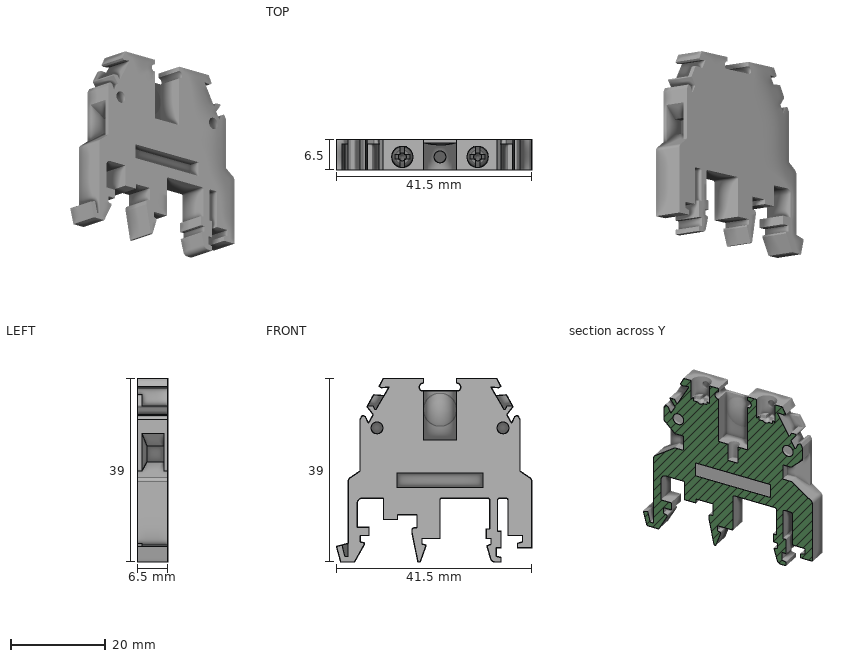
import cadquery as cq
import math


thickness = 6.5
height = 39.0
body_half_width = 17.0
leg_half_width = 19.5
hook_reach = 2.5
shoulder_z = 19.35
shoulder_slope = 0.69
shoulder_radius = 1.0
ceiling_z = 13.55
rim_wall = 1.0

pocket_half_width = 3.5
pocket_floor_z = 25.95
pocket_wall = 0.7
pocket_wall_top_z = 36.4
side_groove_radius = 0.88
side_groove_z = 37.14
dome_radius = 3.5
dome_rise = 0.48
dome_z = 32.35
floor_hole_diameter = 2.5
floor_hole_depth = 4.0

screw_x = 8.0
screw_y = 2.8
screw_bore_diameter = 4.5
screw_head_depth = 4.0
screw_flat_diameter = 3.0
drive_slot_width = 0.92
drive_slot_length = 3.2
drive_slot_depth = 0.8
drive_pit_diameter = 1.7
drive_pit_depth = 0.8
bore_window_diameter = 1.8
bore_window_drop = 1.9
bore_window_wall = 1.0

pin_hole_diameter = 2.5
pin_hole_x = 13.38
pin_hole_z = 28.5
pin_hole_depth = 3.0
label_length = 18.25
label_bottom_z = 15.85
label_top_z = 18.9
label_depth = 2.5

entry_front_y = 0.85
entry_back_y = thickness - rim_wall
entry_top_z = 27.3
entry_taper_length = 2.76
passage_back_y = 4.45
passage_bottom_z = shoulder_z + shoulder_slope * entry_taper_length
passage_top_z = 24.65
passage_length = 2.0

seat_top = (10.85, 37.15)
seat_root = (13.7, 32.2)
ear_root_z = 35.37
seat_run = (seat_root[0] - seat_top[0]) / (seat_top[1] - seat_root[1])
ear_root = (seat_top[0] + seat_run * (seat_top[1] - ear_root_z), ear_root_z)
ear_shoulder = (14.1, 35.55)
ear_tip = (15.5, 33.0)
lip_peak = (16.5, 31.2)
ledge_z = 33.2
ledge_corner = (14.25, ledge_z)
edge_radius = 0.2
seat_corner_radius = 0.15

left_leg_inner_x = -17.53
left_leg_fillet = 1.0
right_leg_inner_x = 14.4
clip_left_x = 10.53
clip_right_x = 12.25
ceiling_fillet = 0.35
foot_right_x = 0.0
foot_barb = (-5.97, 7.3)
foot_barb_radius = 0.5
clip_toe = (10.93, 0.0)
clip_toe_radius = 1.1
hook_top_z = 4.0
hook_slot_floor_z = 1.2
hook_slot_floor_x = -20.2
hook_slot_top = (-20.95, 4.2)


def upper_right_points():
    """Upper right outline, from the central pocket out and down to the leg."""
    return [
        (pocket_half_width, pocket_floor_z),
        (pocket_half_width, height),
        (12.05, height),
        (12.95, 37.3),
        (12.45, 37.0),
        seat_top,
        ear_root,
        ear_shoulder,
        ear_tip,
        (14.2, 31.3),
        (15.2, 29.55),
        (15.85, 30.9),
        lip_peak,
        (body_half_width, 30.3),
        (body_half_width, shoulder_z),
        (leg_half_width, shoulder_z - shoulder_slope * (leg_half_width - body_half_width)),
    ]


def mirrored(points):
    return [(-x, z) for x, z in points]


def lower_points():
    """Underside outline, from the right leg to the left leg."""
    right_leg = [
        (leg_half_width, 3.0),
        (16.43, 3.0),
        (16.43, 4.0),
        (17.47, 4.3),
        (17.47, 5.6),
        (right_leg_inner_x, 5.6),
        (right_leg_inner_x, ceiling_z),
    ]
    spring_clip = [
        (clip_right_x, ceiling_z),
        (clip_right_x, 6.6),
        (13.0, 6.6),
        (13.0, 3.0),
        (11.95, 3.0),
        (11.95, 1.25),
        (13.0, 1.0),
        (13.0, 0.0),
        clip_toe,
        (9.93, 3.5),
        (10.82, 3.8),
        (10.82, 5.0),
        (9.8, 5.0),
        (9.8, 7.05),
        (clip_left_x, 7.05),
        (clip_left_x, ceiling_z),
    ]
    centre_foot = [
        (foot_right_x, ceiling_z),
        (foot_right_x, 5.0),
        (-3.77, 5.0),
        (-3.77, 3.85),
        (-3.02, 3.65),
        (-3.02, 3.3),
        (-4.2, 0.0),
        (-4.7, 0.0),
        (-5.97, 6.2),
        foot_barb,
        (-4.93, 7.3),
        (-4.93, 10.05),
        (-9.0, 10.05),
        (-9.0, 9.05),
        (-12.0, 9.05),
        (-12.0, ceiling_z),
    ]
    left_leg = [
        (left_leg_inner_x, ceiling_z),
        (left_leg_inner_x, 7.45),
        (-15.05, 7.45),
        (-15.05, 5.6),
        (-16.93, 5.6),
        (-16.93, 4.3),
        (-16.05, 4.1),
        (-16.05, 3.75),
        (-18.15, 0.0),
        (-21.1, 0.0),
        (-leg_half_width - hook_reach, 3.35),
        (-leg_half_width, hook_top_z),
    ]
    return right_leg + spring_clip + centre_foot + left_leg


def plate(points, start_y, end_y):
    """Prism of an XZ outline between two Y positions."""
    return (
        cq.Workplane("XZ", origin=(0, start_y, 0))
        .polyline(points)
        .close()
        .extrude(start_y - end_y)
    )


def box_between(low, high):
    size = [b - a for a, b in zip(low, high)]
    return cq.Workplane("XY").box(*size, centered=False).translate(low)


def cylinder_along_y(diameter, x, z, start_y, end_y):
    return (
        cq.Workplane("XZ", origin=(x, start_y, z))
        .circle(diameter / 2)
        .extrude(start_y - end_y)
    )


def make_housing():
    upper_right = upper_right_points()
    upper_left = mirrored(reversed(upper_right))
    housing = plate(upper_right + lower_points() + upper_left, 0, thickness)

    shoulder_corner_x, shoulder_corner_z = upper_right[-1]
    rounded_corners = [
        (shoulder_corner_x, shoulder_corner_z, shoulder_radius),
        (-shoulder_corner_x, shoulder_corner_z, shoulder_radius),
        (left_leg_inner_x, ceiling_z, left_leg_fillet),
        (*foot_barb, foot_barb_radius),
        (*clip_toe, clip_toe_radius),
    ]
    for x in (foot_right_x, clip_left_x, clip_right_x, right_leg_inner_x):
        rounded_corners.append((x, ceiling_z, ceiling_fillet))
    for x, z in (ear_shoulder, ear_tip, lip_peak):
        rounded_corners.append((x, z, edge_radius))
        rounded_corners.append((-x, z, edge_radius))
    for x, z, radius in rounded_corners:
        corner = cq.selectors.NearestToPointSelector((x, thickness / 2, z))
        housing = housing.edges("|Y").edges(corner).fillet(radius)
    return housing


def add_pocket_wall(housing):
    """Thin wall with a shallow dome behind the pocket; rounded side grooves above it."""
    wall_y = thickness - pocket_wall
    for side in (-1, 1):
        groove = cylinder_along_y(
            2 * side_groove_radius, side * pocket_half_width, side_groove_z, 0, thickness
        )
        below = box_between(
            (-leg_half_width, 0, 0), (leg_half_width, thickness, pocket_wall_top_z)
        )
        housing = housing.cut(groove.cut(below))

    wall = box_between(
        (-pocket_half_width, wall_y, pocket_floor_z),
        (pocket_half_width, thickness, pocket_wall_top_z),
    )
    sphere_radius = (dome_radius**2 + dome_rise**2) / (2 * dome_rise)
    half_chord = dome_radius / 2
    half_chord_rise = dome_rise - sphere_radius + math.sqrt(sphere_radius**2 - half_chord**2)
    dome = (
        cq.Workplane("XY", origin=(0, wall_y, dome_z))
        .moveTo(0, pocket_wall)
        .lineTo(0, -dome_rise)
        .threePointArc((half_chord, -half_chord_rise), (dome_radius, 0))
        .lineTo(dome_radius, pocket_wall)
        .close()
        .revolve(360, (0, 0, 0), (0, 1, 0))
    )
    return housing.union(wall).union(dome)


def cut_pocket_floor_hole(housing):
    hole = (
        cq.Workplane("XY", origin=(0, screw_y, pocket_floor_z))
        .circle(floor_hole_diameter / 2)
        .extrude(-floor_hole_depth)
    )
    return housing.cut(hole)


def cut_marker_seats(housing):
    """Front part of each ear, leaving only the back rim."""
    right_seat = [
        seat_top,
        seat_root,
        ledge_corner,
        (16.0, ledge_z),
        (16.0, 36.0),
        (12.0, 36.0),
    ]
    seat_depth = thickness - rim_wall
    cutter = plate(right_seat, 0, seat_depth)
    for x, z in (seat_root, ledge_corner):
        corner = cq.selectors.NearestToPointSelector((x, seat_depth / 2, z))
        cutter = cutter.edges("|Y").edges(corner).fillet(seat_corner_radius)
    return housing.cut(cutter).cut(cutter.mirror("YZ"))


def cut_hook_slot(housing):
    """Slot between the left leg and its release hook, closed at the back."""
    slot = [
        (-leg_half_width, hook_slot_floor_z),
        (hook_slot_floor_x, hook_slot_floor_z),
        hook_slot_top,
        (-leg_half_width, hook_slot_top[1]),
    ]
    return housing.cut(plate(slot, 0, thickness - rim_wall))


def cut_front_recesses(housing):
    for side in (-1, 1):
        hole = cylinder_along_y(pin_hole_diameter, side * pin_hole_x, pin_hole_z, 0, pin_hole_depth)
        housing = housing.cut(hole)
    label = box_between(
        (-label_length / 2, 0, label_bottom_z),
        (label_length / 2, label_depth, label_top_z),
    )
    return housing.cut(label)


def screw_cutter():
    """Space above one recessed cross-head screw, with the bore axis at the origin."""
    bore_radius = screw_bore_diameter / 2
    flat_radius = screw_flat_diameter / 2
    rim_radius = bore_radius - flat_radius
    head_z = height - screw_head_depth
    diagonal = rim_radius * math.sqrt(0.5)
    bore = (
        cq.Workplane("XZ")
        .moveTo(0, height)
        .lineTo(bore_radius, height)
        .lineTo(bore_radius, head_z - rim_radius)
        .threePointArc(
            (flat_radius + diagonal, head_z - rim_radius + diagonal),
            (flat_radius, head_z),
        )
        .lineTo(0, head_z)
        .close()
        .revolve(360, (0, 0, 0), (0, 1, 0))
    )
    head = cq.Workplane("XY", origin=(0, 0, head_z))
    short_slot = head.rect(drive_slot_length, drive_slot_width).extrude(-drive_slot_depth)
    outer_circle = head.circle(bore_radius).extrude(-drive_slot_depth)
    long_slot = (
        head.rect(drive_slot_width, screw_bore_diameter)
        .extrude(-drive_slot_depth)
        .intersect(outer_circle)
    )
    pit_z = head_z - drive_slot_depth
    pit = cq.Workplane(
        cq.Solid.makeCone(
            drive_pit_diameter / 2, 0, drive_pit_depth, cq.Vector(0, 0, pit_z), cq.Vector(0, 0, -1)
        )
    )
    window = cylinder_along_y(
        bore_window_diameter,
        0,
        height - bore_window_drop,
        0,
        thickness - bore_window_wall - screw_y,
    )
    return bore.union(short_slot).union(long_slot).union(pit).union(window)


def cut_screws(housing):
    cutter = screw_cutter()
    for side in (-1, 1):
        housing = housing.cut(cutter.translate((side * screw_x, screw_y, 0)))
    return housing


def wire_entry():
    """Tapered wire funnel and straight passage, entering from the right end."""
    inner_x = body_half_width - entry_taper_length

    def section(x, back_y, bottom_z, top_z):
        return cq.Wire.makePolygon(
            [
                cq.Vector(x, entry_front_y, bottom_z),
                cq.Vector(x, back_y, bottom_z),
                cq.Vector(x, back_y, top_z),
                cq.Vector(x, entry_front_y, top_z),
            ],
            close=True,
        )

    mouth = section(body_half_width, entry_back_y, shoulder_z, entry_top_z)
    throat = section(inner_x, passage_back_y, passage_bottom_z, passage_top_z)
    funnel = cq.Workplane(cq.Solid.makeLoft([mouth, throat], True))
    passage = box_between(
        (inner_x - passage_length, entry_front_y, passage_bottom_z),
        (inner_x, passage_back_y, passage_top_z),
    )
    return funnel.union(passage)


def cut_wire_entries(housing):
    entry = wire_entry()
    return housing.cut(entry).cut(entry.mirror("YZ"))


result = make_housing()
result = add_pocket_wall(result)
result = cut_pocket_floor_hole(result)
result = cut_marker_seats(result)
result = cut_hook_slot(result)
result = cut_front_recesses(result)
result = cut_screws(result)
result = cut_wire_entries(result)